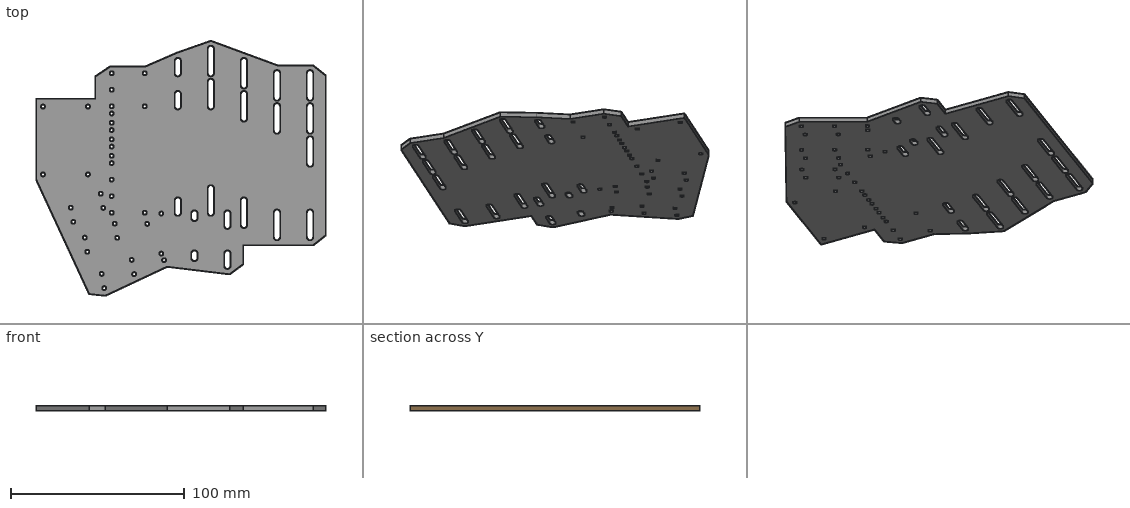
import cadquery as cq
import math


thickness = 3.0
plate_length = 167.1
plate_width = 147.0

wing_top = 113.6
wing_bottom = 67.0
body_left = 34.1
left_shoulder = 132.4
right_shoulder = 132.9
left_slope_bend = (81.2, 140.2)
peak_x = 100.8
body_bottom = 29.0
left_shoulder_end = 63.2
right_shoulder_start = 139.4
tab_right = 119.5
tab_right_bottom = 18.2
tab_tip = (111.6, 12.4)
tab_inner_corner = (75.5, 16.7)
tail_right = (40.0, 0)
tail_left = (30.5, 1.0)

corner_run = 7.4
corner_rise = 5.8
left_corner_run = 8.7

hole_diameter = 2.2
slot_width = 3.5
long_travel = 14.0
short_travel = 7.0
tiny_travel = 2.5
pitch = 19.0
half_pitch = pitch / 2

grid_left = 43.6
upper_row = 128.3
lower_row = 48.0
upper_run_count = 6
lower_run_count = 7
last_column = 6

row_spacing = 23.0
tab_pattern_x = 72.2
tab_pattern_y = 24.4
corner_tilt = 25.0
corner_origin = (39.3, 4.5)
corner_second_shift = (2.2, 8.0)

wing_hole_x = 4.0
wing_hole_y = 70.0
wing_hole_dx = 25.9
wing_hole_dy = 39.1


def make_plate():
    outline = [
        (0, wing_bottom),
        (0, wing_top),
        (body_left, wing_top),
        (body_left, left_shoulder - corner_rise),
        (body_left + left_corner_run, left_shoulder),
        (left_shoulder_end, left_shoulder),
        left_slope_bend,
        (peak_x, plate_width),
        (right_shoulder_start, right_shoulder),
        (plate_length - corner_run, right_shoulder),
        (plate_length, right_shoulder - corner_rise),
        (plate_length, body_bottom + corner_rise),
        (plate_length - corner_run, body_bottom),
        (tab_right, body_bottom),
        (tab_right, tab_right_bottom),
        tab_tip,
        tab_inner_corner,
        tail_right,
        tail_left,
    ]
    return cq.Workplane("XY").polyline(outline).close().extrude(thickness)


def tilted(u, v):
    """Place a point of the tilted corner pattern in plate coordinates."""
    angle = math.radians(corner_tilt)
    x = corner_origin[0] + u * math.cos(angle) - v * math.sin(angle)
    y = corner_origin[1] + u * math.sin(angle) + v * math.cos(angle)
    return (x, y)


def grid_rows():
    return (upper_row, upper_row - pitch, lower_row)


def grid_holes():
    upper_run = [(grid_left, upper_row - i * half_pitch) for i in range(upper_run_count)]
    lower_run = [(grid_left, lower_row + i * half_pitch) for i in range(lower_run_count)]
    second_column = [(grid_left + pitch, y) for y in grid_rows()]
    return upper_run + lower_run + second_column


def wing_holes():
    return [
        (wing_hole_x + i * wing_hole_dx, wing_hole_y + j * wing_hole_dy)
        for i in range(2)
        for j in range(2)
    ]


def tab_holes():
    return [(tab_pattern_x, tab_pattern_y + i * row_spacing) for i in range(2)]


def corner_holes():
    rows = (0, row_spacing, row_spacing + pitch)
    points = []
    for shift_u, shift_v in ((0, 0), corner_second_shift):
        for v in rows:
            points += [tilted(shift_u + i * pitch, shift_v + v) for i in range(2)]
    points += [tilted(2 * pitch, v) for v in rows[:2]]
    return points


def cut_holes(plate, points):
    cutters = cq.Workplane("XY").pushPoints(points).circle(hole_diameter / 2).extrude(thickness)
    return plate.cut(cutters)


def cut_slots(plate, travel, centers):
    """Cut vertical slots; travel is the distance between the centers of the round ends."""
    cutters = (
        cq.Workplane("XY")
        .pushPoints(centers)
        .slot2D(travel + slot_width, slot_width, 90)
        .extrude(thickness)
    )
    return plate.cut(cutters)


def cut_grid_slots(plate):
    columns = (
        (2, short_travel, 1),
        (3, long_travel, 1),
        (4, long_travel, 0),
        (5, long_travel, -1),
        (last_column, long_travel, -1),
    )
    for column, travel, side in columns:
        x = grid_left + column * pitch
        plate = cut_slots(plate, travel, [(x, y + side * travel / 2) for y in grid_rows()])
    extra_slot = (grid_left + last_column * pitch, upper_row - 2 * pitch - long_travel / 2)
    return cut_slots(plate, long_travel, [extra_slot])


def cut_tab_slots(plate):
    for column, travel in ((1, tiny_travel), (2, short_travel)):
        x = tab_pattern_x + column * pitch
        centers = [(x, y - travel / 2) for _, y in tab_holes()]
        plate = cut_slots(plate, travel, centers)
    return plate


result = make_plate()
result = cut_holes(result, grid_holes() + wing_holes() + tab_holes() + corner_holes())
result = cut_grid_slots(result)
result = cut_tab_slots(result)